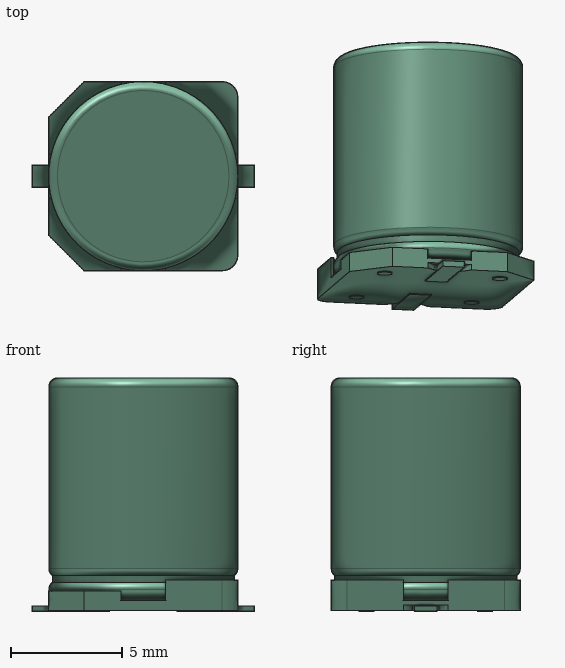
import cadquery as cq
import math

can_radius = 4.25
can_top = 10.5
can_bottom = 0.49
rim_radius = 0.4
neck_depth = 0.16
neck_bottom = 1.31
neck_top = 1.62

base_width = 2 * can_radius
base_bottom = 0.04
low_top = 0.91
high_top = 1.41
high_start = 1.01
corner_chamfer = 1.6
corner_radius = 0.7

notch_width = 2.02
notch_depth = 1.58

foot_diameter = 0.67
foot_x = 2.77
foot_y = 2.66

lead_reach = 5.0
lead_inner = 1.52
lead_width = 1.0
lead_thickness = 0.25
mouth_top = 0.29
mouth_inner_width = 1.18
mouth_depth = 0.42


def make_can():
    """Revolve the can, with arcs at the rim, both neck edges and the foot."""
    neck_radius = can_radius - neck_depth
    arc_rise = math.sqrt(rim_radius**2 - (rim_radius - neck_depth) ** 2)
    bead_z = neck_bottom - arc_rise
    wall_z = neck_top + arc_rise
    foot_radius = bead_z - can_bottom
    return (
        cq.Workplane("XZ")
        .moveTo(0, can_bottom)
        .lineTo(can_radius - foot_radius, can_bottom)
        .radiusArc((can_radius, bead_z), -foot_radius)
        .radiusArc((neck_radius, neck_bottom), -rim_radius)
        .lineTo(neck_radius, neck_top)
        .radiusArc((can_radius, wall_z), -rim_radius)
        .lineTo(can_radius, can_top - rim_radius)
        .radiusArc((can_radius - rim_radius, can_top), -rim_radius)
        .lineTo(0, can_top)
        .close()
        .revolve(360, (0, 0, 0), (0, 1, 0))
    )


def block(x_start, x_end, width, z_start, z_end):
    """Box centred on Y, given by its X and Z limits."""
    return cq.Workplane("XY").box(
        x_end - x_start, width, z_end - z_start, centered=(False, True, False)
    ).translate((x_start, 0, z_start))


def make_lead(side):
    """Flat strip leaving the base on the +X (side=1) or -X (side=-1) side."""
    inner, outer = sorted((side * lead_inner, side * lead_reach))
    return block(inner, outer, lead_width, 0, lead_thickness)


def make_mouth(side):
    """Tapered opening in the base wall, narrowing towards the lead."""
    outer_x = side * base_width / 2
    inner_x = outer_x - side * mouth_depth
    return (
        cq.Workplane("XY")
        .workplane(offset=base_bottom)
        .polyline([
            (outer_x, -notch_width / 2),
            (inner_x, -mouth_inner_width / 2),
            (inner_x, mouth_inner_width / 2),
            (outer_x, notch_width / 2),
        ])
        .close()
        .extrude(mouth_top - base_bottom)
    )


def make_base(leads):
    """Stepped tray with a can seat, side notches, feet and lead openings."""
    half = base_width / 2
    base = block(-half, half, base_width, base_bottom, high_top)
    base = base.edges("|Z and <X").chamfer(corner_chamfer)
    base = base.edges("|Z and >X").fillet(corner_radius)
    base = base.cut(block(-half, high_start, base_width, low_top, high_top))

    seat = cq.Workplane("XY").workplane(offset=can_bottom).circle(can_radius).extrude(can_top)
    base = base.cut(seat)

    notch = block(half - notch_depth, half, notch_width, can_bottom, high_top)
    for angle in (0, 90, 180, 270):
        base = base.cut(notch.rotate((0, 0, 0), (0, 0, 1), angle))

    feet = (
        cq.Workplane("XY")
        .rarray(2 * foot_x, 2 * foot_y, 2, 2)
        .circle(foot_diameter / 2)
        .extrude(base_bottom)
    )
    base = base.union(feet)

    for side, lead in leads.items():
        base = base.cut(make_mouth(side)).cut(lead)
    return base


can = make_can()
leads = {side: make_lead(side) for side in (-1, 1)}
base = make_base(leads)

result = cq.Compound.makeCompound([can.val(), base.val(), *[lead.val() for lead in leads.values()]])